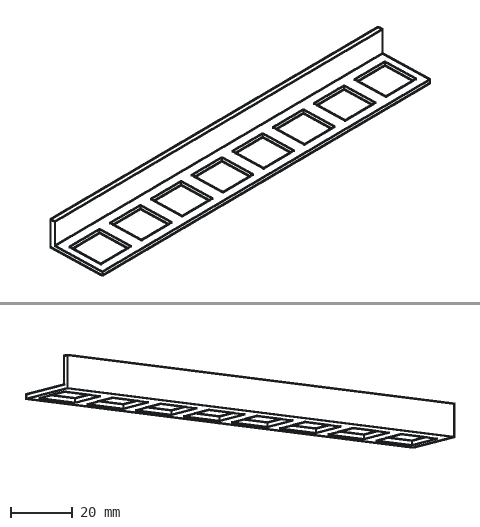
import cadquery as cq

width = 23.4
length = 152.7
height = 11.0

wall_thickness = 2.0
plate_thickness = 1.5

window_count = 8
window_size = 14.0
end_margin = 2.9
window_pitch = (length - 2 * end_margin - window_size) / (window_count - 1)
window_center_x = 12.8


def angle_strip():
    """L-shaped strip: a flat plate with an upright wall along its -X edge."""
    plate = cq.Workplane("XY").box(width, length, plate_thickness, centered=(False, True, False))
    wall = cq.Workplane("XY").box(wall_thickness, length, height, centered=(False, True, False))
    return plate.union(wall)


def windows():
    """Square cutters evenly spaced along the strip, centered on its length."""
    return (
        cq.Workplane("XY")
        .center(window_center_x, 0)
        .rarray(1.5, window_pitch, 1, window_count)
        .rect(window_size, window_size)
        .extrude(plate_thickness)
    )


result = angle_strip().cut(windows())